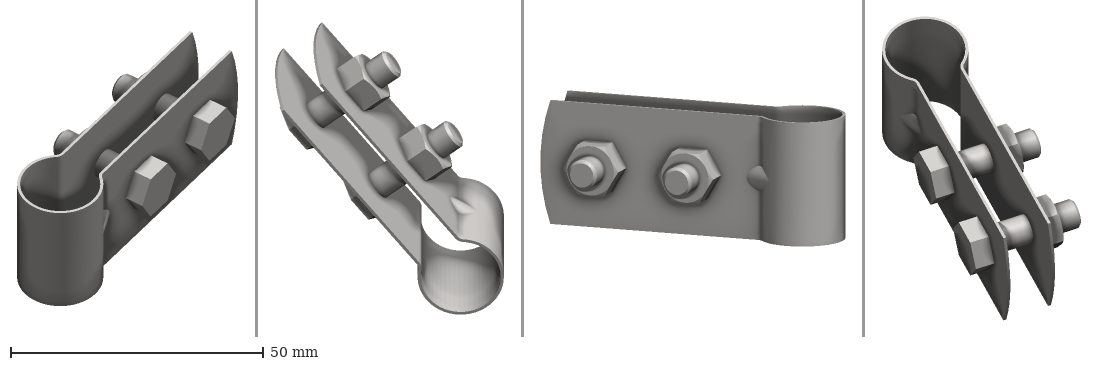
import cadquery as cq
import math

overall_length = 62.0
strap_width = 25.0
strap_thickness = 0.6
ring_inner_radius = 7.95
ring_outer_radius = ring_inner_radius + strap_thickness
arm_gap = 9.0
arm_inner_x = arm_gap / 2
arm_outer_x = arm_inner_x + strap_thickness
arm_tip_y = overall_length - ring_outer_radius
tip_radius = 38.05

bend_radius = 1.5
bend_center_x = arm_outer_x + bend_radius
bend_center_y = math.sqrt((ring_outer_radius + bend_radius) ** 2 - bend_center_x ** 2)
bend_angle = math.atan2(bend_center_y, bend_center_x)

rib_radius = 4.0
rib_half_width = 2.3
rib_flare = 0.5
rib_arm_y = 9.85
rib_ring_y = 4.35

bolt_diameter = 6.0
bolt_tip_diameter = 4.9
bolt_tip_chamfer = (bolt_diameter - bolt_tip_diameter) / 2
shank_length = 20.0
head_height = 3.95
nut_height = 5.0
hex_across_flats = 10.0
hex_across_corners = hex_across_flats / math.cos(math.radians(30))
nut_chamfer_angle = 30.0
first_bolt_y = 21.0
bolt_spacing = 20.0
bolt_count = 2
bolt_positions = [first_bolt_y + i * bolt_spacing for i in range(bolt_count)]


def filled_keyhole(arm_x, bend_r, ring_r):
    """Solid keyhole prism bounded by one face of the strap."""

    def bend_point(angle):
        return (bend_center_x - bend_r * math.cos(angle), bend_center_y - bend_r * math.sin(angle))

    def mirrored(point):
        return (-point[0], point[1])

    bend_middle = bend_point(bend_angle / 2)
    bend_end = bend_point(bend_angle)
    return (
        cq.Workplane("XY")
        .moveTo(arm_x, arm_tip_y)
        .lineTo(arm_x, bend_center_y)
        .threePointArc(bend_middle, bend_end)
        .threePointArc((0, -ring_r), mirrored(bend_end))
        .threePointArc(mirrored(bend_middle), (-arm_x, bend_center_y))
        .lineTo(-arm_x, arm_tip_y)
        .close()
        .extrude(strap_width / 2, both=True)
    )


def make_rib():
    """Rib over the +X bend, with a straight rounded crest and sides flared at 45 degrees."""
    run_x = math.sqrt(ring_outer_radius ** 2 - rib_ring_y ** 2) - arm_outer_x
    run_y = rib_ring_y - rib_arm_y
    crest_start = (arm_outer_x, rib_arm_y, 0)
    crest_depth = rib_radius - math.sqrt(rib_radius ** 2 - rib_half_width ** 2)
    base_depth = crest_depth + rib_flare
    base_half_width = rib_half_width + rib_flare

    section = cq.Plane(crest_start, xDir=(run_y, -run_x, 0), normal=(run_x, run_y, 0))
    return (
        cq.Workplane(section)
        .moveTo(crest_depth, -rib_half_width)
        .threePointArc((0, 0), (crest_depth, rib_half_width))
        .lineTo(base_depth, base_half_width)
        .lineTo(base_depth, -base_half_width)
        .close()
        .extrude(math.hypot(run_x, run_y))
    )


def x_cylinder(diameter, start_x, length, y):
    """Cylinder along +X at height zero."""
    return cq.Workplane("YZ", origin=(start_x, y, 0)).circle(diameter / 2).extrude(length)


def x_hexagon(start_x, length, y):
    """Hexagonal prism along +X with two flats facing up and down."""
    return cq.Workplane("YZ", origin=(start_x, y, 0)).polygon(6, hex_across_corners).extrude(length)


def make_strap():
    """Bent band with ribs, rounded arm ends and bolt holes."""
    rib = make_rib()
    body = filled_keyhole(arm_outer_x, bend_radius, ring_outer_radius)
    body = body.union(rib).union(rib.mirror("YZ"))
    body = body.cut(filled_keyhole(arm_inner_x, bend_radius + strap_thickness, ring_inner_radius))

    tip_envelope = x_cylinder(
        2 * tip_radius, -ring_outer_radius, 2 * ring_outer_radius, arm_tip_y - tip_radius
    )
    body = body.intersect(tip_envelope)

    for y in bolt_positions:
        body = body.cut(x_cylinder(bolt_diameter, -arm_outer_x, 2 * arm_outer_x, y))
    return body


def make_bolt(y):
    """Bolt with its head against the +X arm and its chamfered tip toward -X."""
    shank = x_cylinder(bolt_diameter, arm_outer_x - shank_length, shank_length, y)
    shank = shank.faces("<X").chamfer(bolt_tip_chamfer)
    return shank.union(x_hexagon(arm_outer_x, head_height, y))


def make_nut(y):
    """Nut against the -X arm with its corners chamfered on the outer face."""
    outer_x = -arm_outer_x - nut_height
    corner_depth = (hex_across_corners - hex_across_flats) / 2
    chamfer_height = corner_depth * math.tan(math.radians(nut_chamfer_angle))
    envelope = x_cylinder(hex_across_corners, outer_x, nut_height, y)
    envelope = envelope.faces("<X").chamfer(chamfer_height, corner_depth)
    nut = x_hexagon(outer_x, nut_height, y).intersect(envelope)
    return nut.cut(x_cylinder(bolt_diameter, outer_x, nut_height, y))


strap = make_strap()
bolts = [make_bolt(y) for y in bolt_positions]
nuts = [make_nut(y) for y in bolt_positions]

result = cq.Compound.makeCompound(
    [
        strap.solids().val(),
        *[bolt.solids().val() for bolt in bolts],
        *[nut.solids().val() for nut in nuts],
    ]
)